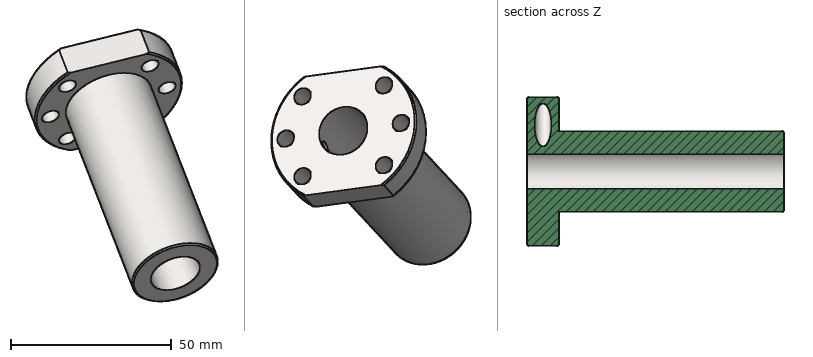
import cadquery as cq
import math

total_length = 80.0
flange_diameter = 48.0
flange_width = 40.0
flange_thickness = 10.0
body_diameter = 28.0
bore_diameter = 16.0
edge_chamfer = 0.5

hole_count = 8
hole_angle_step = 360 / hole_count
hole_diameter = 5.5
hole_circle_diameter = 38.0

oil_hole_diameter = 5.0
oil_hole_angle = -hole_angle_step / 2


def make_flange():
    """Round flange with chamfered rims, cut to two flats facing up and down."""
    disc = (
        cq.Workplane("YZ")
        .circle(flange_diameter / 2)
        .extrude(flange_thickness)
        .edges("%CIRCLE")
        .chamfer(edge_chamfer)
    )
    flats = cq.Workplane("XY").box(
        flange_thickness, flange_diameter, flange_width, centered=(False, True, True)
    )
    return disc.intersect(flats)


def make_body():
    """Cylindrical barrel with a chamfered free end."""
    return (
        cq.Workplane("YZ")
        .circle(body_diameter / 2)
        .extrude(total_length)
        .faces(">X")
        .edges()
        .chamfer(edge_chamfer)
    )


def make_mounting_holes():
    """Through holes at every step of the bolt circle except the two facing the flats."""
    angles = [step * hole_angle_step for step in range(hole_count)]
    centers = [
        (
            hole_circle_diameter / 2 * math.cos(math.radians(angle)),
            hole_circle_diameter / 2 * math.sin(math.radians(angle)),
        )
        for angle in angles
        if angle not in (90, 270)
    ]
    return (
        cq.Workplane("YZ")
        .pushPoints(centers)
        .circle(hole_diameter / 2)
        .extrude(flange_thickness)
    )


def make_oil_hole():
    """Radial hole from the bore to the flange rim, between two mounting holes."""
    return (
        cq.Workplane("XZ", origin=(flange_thickness / 2, 0, 0))
        .circle(oil_hole_diameter / 2)
        .extrude(-flange_diameter / 2)
        .rotate((0, 0, 0), (1, 0, 0), oil_hole_angle)
    )


bore = cq.Workplane("YZ").circle(bore_diameter / 2).extrude(total_length)

result = (
    make_flange()
    .union(make_body())
    .cut(bore)
    .cut(make_mounting_holes())
    .cut(make_oil_hole())
)